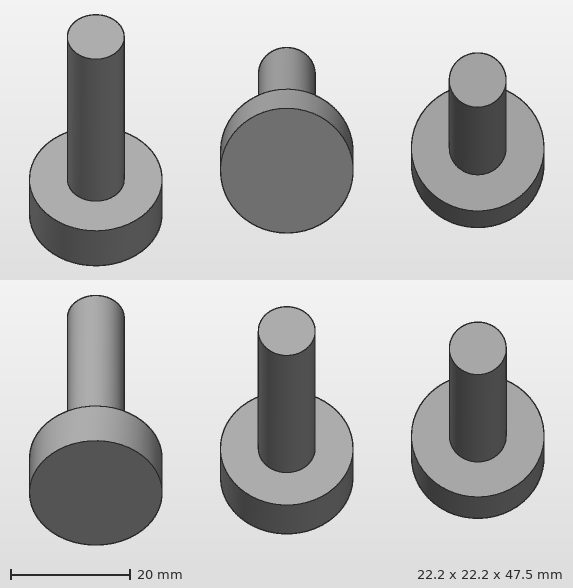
import cadquery as cq

total_height = 47.5
head_diameter = 22.25
head_height = 9.4
shank_diameter = 9.55

shank_length = total_height - head_height

head = cq.Workplane("XY").circle(head_diameter / 2).extrude(head_height)

result = head.faces(">Z").workplane().circle(shank_diameter / 2).extrude(shank_length)